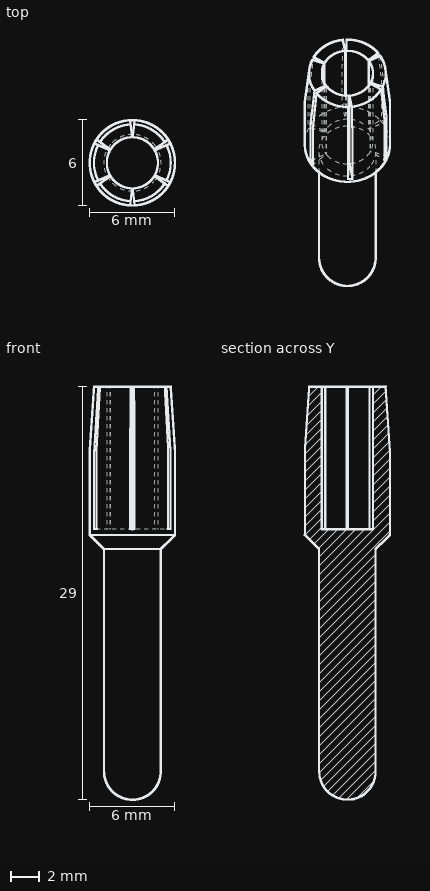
import cadquery as cq
import math

total_length = 29.0
pin_radius = 2.0
collar_diameter = 6.0
collar_radius = collar_diameter / 2
mouth_radius = 2.7
bore_radius = 1.8
bore_depth = 10.0
slot_depth = 10.0
slot_width = 0.32
slot_apex_radius = 1.57
slot_count = 6
first_slot_direction = 90
taper_length = 4.5
collar_depth = 10.4
shoulder_height = 1.0

taper_z = total_length - taper_length
collar_z = total_length - collar_depth
shoulder_z = collar_z - shoulder_height


def turned_body():
    """Round-ended pin with a wider collar that tapers towards its mouth."""
    arc_offset = pin_radius * math.sqrt(0.5)
    profile = (
        cq.Workplane("XZ")
        .moveTo(0, 0)
        .threePointArc((arc_offset, pin_radius - arc_offset), (pin_radius, pin_radius))
        .lineTo(pin_radius, shoulder_z)
        .lineTo(collar_radius, collar_z)
        .lineTo(collar_radius, taper_z)
        .lineTo(mouth_radius, total_length)
        .lineTo(0, total_length)
        .close()
    )
    return profile.revolve(360, (0, 0, 0), (0, 1, 0))


def bore():
    """Blind round bore opening at the mouth."""
    floor = cq.Workplane("XY").workplane(offset=total_length - bore_depth)
    return floor.circle(bore_radius).extrude(bore_depth)


def slot(direction):
    """Wedge-shaped slot through the collar wall, widening outwards."""
    reach = collar_diameter
    spread = slot_width / 2 / (collar_radius - slot_apex_radius)
    half_width = spread * (reach - slot_apex_radius)
    floor = cq.Workplane("XY").workplane(offset=total_length - slot_depth)
    corners = [(slot_apex_radius, 0), (reach, -half_width), (reach, half_width)]
    wedge = floor.polyline(corners).close().extrude(slot_depth)
    return wedge.rotate((0, 0, 0), (0, 0, 1), direction)


result = turned_body().cut(bore())
for index in range(slot_count):
    result = result.cut(slot(first_slot_direction + index * 360 / slot_count))